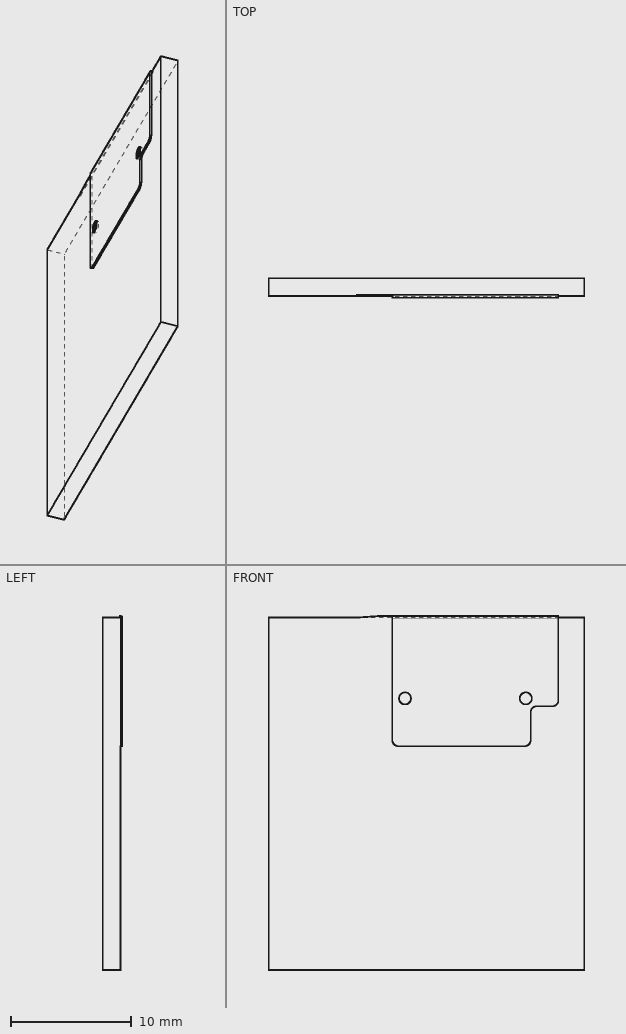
import cadquery as cq

overall_height = 29.34
overall_depth = 1.64
sheet = 0.14

board_width = 26.16
board_height = overall_height - sheet
board_depth = overall_depth - sheet

cover_left = 10.25
cover_right = 24.0
cover_bottom = 18.55
step_x = 21.7
step_z = 21.85
corner_radius = 0.5

hole_diameter = 1.0
hole_z = 22.5
hole_xs = (11.3, 21.3)

lip_depth = 0.1
bend_radius = 0.2
ramp_tip = 7.3
ramp_crest = 9.3


def make_board():
    return cq.Workplane("XY").box(board_width, board_depth, board_height, centered=False)


def make_sheet():
    """Sheet with a notch in its lower right corner and rounded lower corners."""
    outline = [
        (cover_left, overall_height),
        (cover_left, cover_bottom),
        (step_x, cover_bottom),
        (step_x, step_z),
        (cover_right, step_z),
        (cover_right, overall_height),
    ]
    plate = cq.Workplane("XZ").polyline(outline).close().extrude(sheet)
    below_top = cq.selectors.BoxSelector(
        (0, -overall_depth, 0), (board_width, overall_depth, step_z + corner_radius)
    )
    return plate.edges("|Y").edges(below_top).fillet(corner_radius)


def make_lip():
    """Strip of the cover that rests on the board's top edge."""
    return (
        cq.Workplane("XY", origin=(cover_left, 0, board_height))
        .box(cover_right - cover_left, lip_depth, sheet, centered=False)
    )


def make_holes():
    return (
        cq.Workplane("XZ")
        .pushPoints([(x, hole_z) for x in hole_xs])
        .circle(hole_diameter / 2)
        .extrude(sheet)
    )


def make_cover():
    """Sheet and lip joined by a rounded fold, with the two holes cut through."""
    folded = make_sheet().union(make_lip()).clean()
    return folded.edges(">Z and |X").edges("<Y").fillet(bend_radius).cut(make_holes())


def make_ramp():
    """Strip on the board's top edge that rises from a thin tip to the end of the lip."""
    outline = [
        (ramp_tip, board_height),
        (cover_left, board_height),
        (cover_left, overall_height),
        (ramp_crest, overall_height),
    ]
    return cq.Workplane("XZ").polyline(outline).close().extrude(-lip_depth)


result = make_board().union(make_cover()).union(make_ramp())